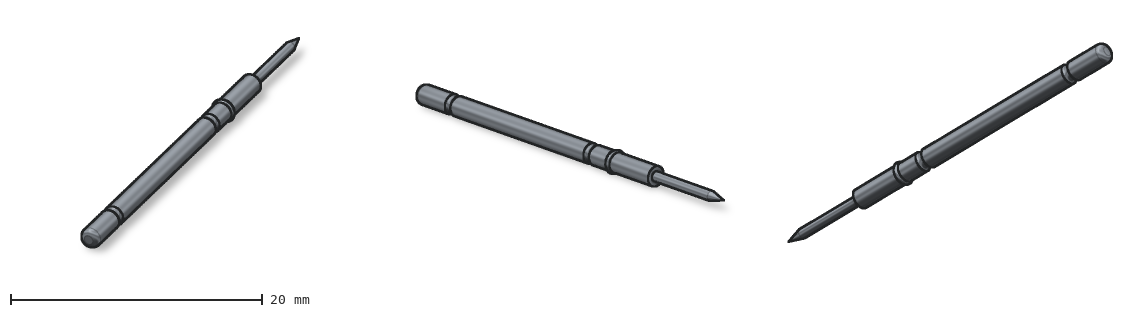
import cadquery as cq


total_length = 35.4
barrel_length = 27.4
cone_start = 33.88
ring_position = 22.65
groove_positions = (3.93, 20.15)

barrel_radius = 0.85
ring_radius = 1.0
plunger_radius = 0.42

tail_rounding = 0.45
ring_width = 0.53
groove_width = 0.65
groove_depth = 0.18


def start_profile(y, radius):
    """Start a half profile in the YZ plane at a station along the axis."""
    return cq.Workplane("YZ").moveTo(y, radius)


def turn(profile):
    """Close a half profile and revolve it about the Y axis."""
    return profile.close().revolve(360, (0, 0), (1, 0))


def make_barrel():
    """Plain barrel with a rounded tail."""
    barrel = turn(
        start_profile(0, 0)
        .lineTo(0, barrel_radius)
        .lineTo(barrel_length, barrel_radius)
        .lineTo(barrel_length, 0)
    )
    return barrel.faces("<Y").edges().fillet(tail_rounding)


def make_plunger():
    """Slim plunger rod with a sharp conical point."""
    return turn(
        start_profile(barrel_length, 0)
        .lineTo(barrel_length, plunger_radius)
        .lineTo(cone_start, plunger_radius)
        .lineTo(total_length, 0)
    )


def make_ring():
    """Press ring with a half-round rim standing proud of the barrel."""
    rim_radius = ring_width / 2
    rim_base = ring_radius - rim_radius
    ring_start = ring_position - rim_radius
    ring_end = ring_position + rim_radius
    return turn(
        start_profile(ring_start, 0)
        .lineTo(ring_start, rim_base)
        .threePointArc((ring_position, ring_radius), (ring_end, rim_base))
        .lineTo(ring_end, 0)
    )


def make_groove_cutter(position):
    """Lens-shaped ring that cuts a concave groove with an arc-shaped floor."""
    half_width = groove_width / 2
    floor_radius = barrel_radius - groove_depth
    crown_radius = barrel_radius + groove_depth
    groove_start = position - half_width
    groove_end = position + half_width
    return turn(
        start_profile(groove_start, barrel_radius)
        .threePointArc((position, floor_radius), (groove_end, barrel_radius))
        .threePointArc((position, crown_radius), (groove_start, barrel_radius))
    )


result = make_barrel().union(make_plunger()).union(make_ring())
for groove_position in groove_positions:
    result = result.cut(make_groove_cutter(groove_position))